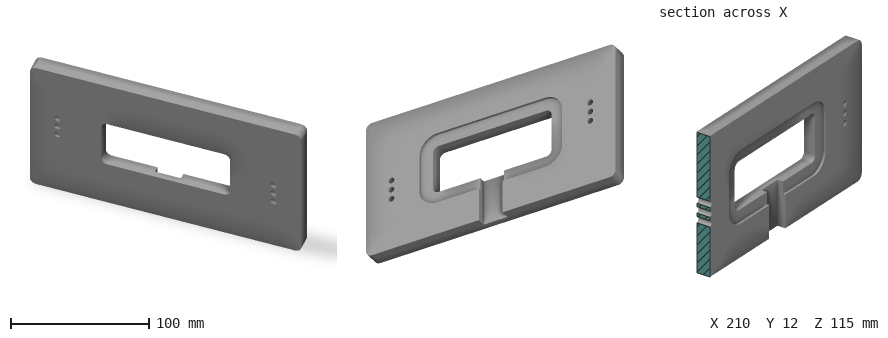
import cadquery as cq

plate_width = 210.0
plate_thickness = 12.0
plate_height = 115.0
plate_corner_radius = 5.0

window_width = 100.0
window_height = 40.0
window_corner_radius = 5.0

recess_depth = 2.0
recess_border = 10.0

channel_width = 20.0
channel_depth = 7.0

hole_diameter = 4.8
counterbore_diameter = 5.9
counterbore_depth = 0.2
holes_per_row = 3
hole_pitch = 8.0
row_offset_x = 83.5
left_row_center_z = 5.0
right_row_center_z = -6.0

front_y = -plate_thickness / 2
back_y = plate_thickness / 2


def rounded_block(width, depth, height, corner_radius):
    """Centred block whose four corners are rounded about the Y axis."""
    return cq.Workplane("XY").box(width, depth, height).edges("|Y").fillet(corner_radius)


def back_recess():
    """Rounded recess that leaves the same border all round the window."""
    return rounded_block(
        window_width + 2 * recess_border,
        recess_depth,
        window_height + 2 * recess_border,
        window_corner_radius + recess_border,
    ).translate((0, back_y - recess_depth / 2, 0))


def back_channel():
    """Open channel that starts inside the window and leaves through the lower edge."""
    channel_length = plate_height / 2
    return cq.Workplane("XY").box(channel_width, channel_depth, channel_length).translate(
        (0, back_y - channel_depth / 2, -channel_length / 2)
    )


def hole_row(center_x, center_z):
    """Centres of one vertical row of holes, as (x, z) points."""
    middle = (holes_per_row - 1) / 2
    return [(center_x, center_z + (i - middle) * hole_pitch) for i in range(holes_per_row)]


plate = rounded_block(plate_width, plate_thickness, plate_height, plate_corner_radius)
plate = plate.cut(rounded_block(window_width, plate_thickness, window_height, window_corner_radius))
plate = plate.cut(back_recess())
plate = plate.cut(back_channel())

hole_centers = hole_row(-row_offset_x, left_row_center_z) + hole_row(row_offset_x, right_row_center_z)
front_face = cq.Workplane("XZ", origin=(0, front_y, 0))
result = plate.copyWorkplane(front_face).pushPoints(hole_centers).cboreHole(
    hole_diameter, counterbore_diameter, counterbore_depth
)